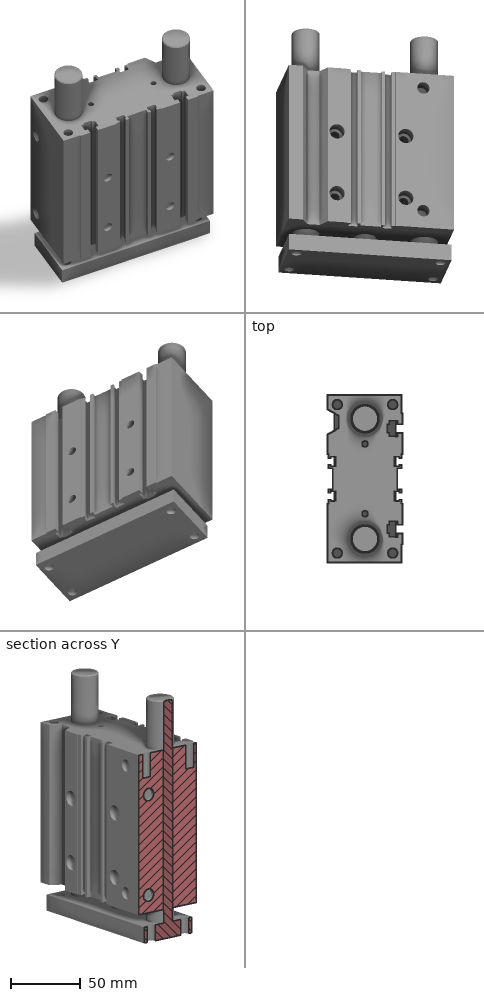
import cadquery as cq


total_height = 177.0
plate_thickness = 12.0
housing_bottom = 21.8
housing_top = 140.7
housing_height = housing_top - housing_bottom

housing_width = 54.0
housing_length = 120.0
half_width = housing_width / 2
half_length = housing_length / 2
relief_depth = 0.7
end_relief_y = 46.9
middle_relief_y = 17.7
channel_width = 15.0
channel_floor_x = 23.2

sensor_slot_y = 12.4
sensor_mouth_width = 4.8
sensor_cavity_width = 6.7
sensor_lip_x = 24.5
sensor_floor_x = 20.9

mount_slot_y = 36.0
mount_mouth_width = 6.2
mount_cavity_width = 11.0
mount_lip_x = 23.2
mount_cavity_x = 17.2
mount_groove_x = 16.0

taper_y = 40.7
taper_mouth_width = 18.0
taper_floor_width = 9.0
taper_floor_x = -19.0

guide_rod_diameter = 20.0
guide_rod_y = 43.0
guide_rod_chamfer = 0.7
piston_rod_diameter = 16.0

plate_width = 44.2
plate_length = 118.0
plate_hole_diameter = 6.9
plate_hole_x = 15.2
plate_hole_y = 52.2

corner_hole_diameter = 6.9
corner_hole_depth = 17.7
corner_hole_x = 19.8
corner_hole_y = 53.1
top_pin_diameter = 4.2
top_pin_depth = 8.8
cross_hole_y = 25.0

cross_hole_diameter = 6.9
cross_hole_heights = (43.9, 91.7)
counterbore_diameter = 11.0
counterbore_depth = 8.8

port_diameter = 8.8
port_depth = 10.6
side_port_y = -37.7
side_port_heights = (34.9, 129.7)
end_port_x = -17.9
end_port_heights = (35.0, 109.7)


def channel(x_start, x_end, y_center, width):
    """Block over the full housing height, used to cut a channel between two X positions."""
    return (
        cq.Workplane("XY", origin=((x_start + x_end) / 2, y_center, housing_bottom))
        .rect(abs(x_end - x_start), width)
        .extrude(housing_height)
    )


def hole_along_x(y, z, diameter, depth):
    """Cylinder going inward from the -X face of the housing."""
    return (
        cq.Workplane("YZ", origin=(-half_width, y, z))
        .circle(diameter / 2)
        .extrude(depth)
    )


def cut_side_reliefs(housing):
    relief_x = half_width - relief_depth
    for side in (-1, 1):
        housing = housing.cut(channel(side * relief_x, side * half_width, 0, 2 * middle_relief_y))
        housing = housing.cut(channel(side * channel_floor_x, side * half_width, 0, channel_width))
    end_relief_width = half_length - end_relief_y
    end_relief_center = (half_length + end_relief_y) / 2
    for end in (-1, 1):
        housing = housing.cut(channel(relief_x, half_width, end * end_relief_center, end_relief_width))
    return housing


def cut_sensor_slots(housing):
    for side in (-1, 1):
        for y in (-sensor_slot_y, sensor_slot_y):
            housing = housing.cut(channel(side * sensor_floor_x, side * half_width, y, sensor_mouth_width))
            housing = housing.cut(channel(side * sensor_floor_x, side * sensor_lip_x, y, sensor_cavity_width))
    return housing


def cut_mount_slots(housing):
    for y in (-mount_slot_y, mount_slot_y):
        housing = housing.cut(channel(mount_groove_x, half_width, y, mount_mouth_width))
        housing = housing.cut(channel(mount_cavity_x, mount_lip_x, y, mount_cavity_width))
    return housing


def cut_taper_groove(housing):
    groove = (
        cq.Workplane("XY", origin=(0, taper_y, housing_bottom))
        .polyline([
            (-half_width, taper_mouth_width / 2),
            (taper_floor_x, taper_floor_width / 2),
            (taper_floor_x, -taper_floor_width / 2),
            (-half_width, -taper_mouth_width / 2),
        ])
        .close()
        .extrude(housing_height)
    )
    return housing.cut(groove)


def cut_top_holes(housing):
    corner_holes = (
        cq.Workplane("XY", origin=(0, 0, housing_top))
        .rect(2 * corner_hole_x, 2 * corner_hole_y, forConstruction=True)
        .vertices()
        .circle(corner_hole_diameter / 2)
        .extrude(-corner_hole_depth)
    )
    pin_holes = (
        cq.Workplane("XY", origin=(0, 0, housing_top))
        .pushPoints([(0, -cross_hole_y), (0, cross_hole_y)])
        .circle(top_pin_diameter / 2)
        .extrude(-top_pin_depth)
    )
    return housing.cut(corner_holes).cut(pin_holes)


def cut_cross_holes(housing):
    for y in (-cross_hole_y, cross_hole_y):
        for z in cross_hole_heights:
            housing = housing.cut(hole_along_x(y, z, cross_hole_diameter, housing_width))
            housing = housing.cut(hole_along_x(y, z, counterbore_diameter, counterbore_depth))
    return housing


def cut_ports(housing):
    for z in side_port_heights:
        housing = housing.cut(hole_along_x(side_port_y, z, port_diameter, port_depth))
    for z in end_port_heights:
        end_port = (
            cq.Workplane("XZ", origin=(end_port_x, -half_length, z))
            .circle(port_diameter / 2)
            .extrude(-port_depth)
        )
        housing = housing.cut(end_port)
    return housing


def guide_cylinders(z_start, z_end):
    """The two guide rod cylinders between two heights."""
    return (
        cq.Workplane("XY", origin=(0, 0, z_start))
        .pushPoints([(0, -guide_rod_y), (0, guide_rod_y)])
        .circle(guide_rod_diameter / 2)
        .extrude(z_end - z_start)
    )


def make_housing():
    housing = (
        cq.Workplane("XY", origin=(0, 0, housing_bottom))
        .rect(housing_width, housing_length)
        .extrude(housing_height)
    )
    housing = cut_side_reliefs(housing)
    housing = cut_sensor_slots(housing)
    housing = cut_mount_slots(housing)
    housing = cut_taper_groove(housing)
    housing = cut_top_holes(housing)
    housing = cut_cross_holes(housing)
    housing = cut_ports(housing)
    return housing.cut(guide_cylinders(housing_bottom, housing_top))


def make_yoke():
    """End plate with its guide rods, and a piston rod that ends at the housing underside."""
    plate = (
        cq.Workplane("XY")
        .rect(plate_width, plate_length)
        .extrude(plate_thickness)
        .faces(">Z")
        .workplane()
        .rect(2 * plate_hole_x, 2 * plate_hole_y, forConstruction=True)
        .vertices()
        .hole(plate_hole_diameter)
    )
    guide_rods = guide_cylinders(plate_thickness, total_height).faces(">Z").chamfer(guide_rod_chamfer)
    piston_rod = (
        cq.Workplane("XY", origin=(0, 0, plate_thickness))
        .circle(piston_rod_diameter / 2)
        .extrude(housing_bottom - plate_thickness)
    )
    return plate.union(guide_rods).union(piston_rod)


housing = make_housing()
yoke = make_yoke()

result = cq.Compound.makeCompound([housing.val(), yoke.val()])